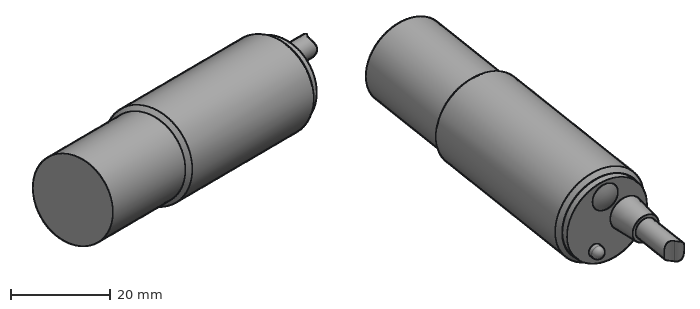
import cadquery as cq
import math

nose_diameter = 20.0
nose_length = 25.0
barrel_diameter = 22.0
barrel_chamfer = (barrel_diameter - nose_diameter) / 2
barrel_length = 43.9
barrel_end = nose_length + barrel_length

cap_diameter = 19.8
cap_thickness = 1.6
cap_face = barrel_end + cap_thickness

cable_x = -4.7
cable_z = 0.0
cable_diameter = 5.0
relief_base_diameter = 7.8
relief_tip_diameter = 6.5
relief_length = 6.9
relief_end = cap_face + relief_length
overall_length = 88.07

break_radius = 1.5
break_half_chord = cable_diameter / 4
break_rise = break_radius - math.sqrt(break_radius**2 - break_half_chord**2)
break_level = overall_length - break_rise

lamp_x = 3.0
lamp_z = -6.1
lamp_diameter = 3.0
lamp_radius = lamp_diameter / 2
lamp_post_height = 0.9

dome_x = 0.45
dome_z = 5.9
dome_diameter = 6.3
dome_height = 0.65


def cylinder(diameter, start, end, x=0.0, z=0.0):
    """Cylinder along Y from start to end."""
    axis_start = cq.Vector(x, start, z)
    return cq.Workplane(cq.Solid.makeCylinder(diameter / 2, end - start, axis_start, cq.Vector(0, 1, 0)))


def revolve_about_y(profile, x, y, z):
    """Revolve a radius-height profile about the Y direction and put its base centre at a point."""
    return profile.close().revolve(360, (0, 0, 0), (0, 1, 0)).translate((x, y, z))


def make_housing():
    barrel = cylinder(barrel_diameter, nose_length, barrel_end).edges().chamfer(barrel_chamfer)
    nose = cylinder(nose_diameter, 0, nose_length)
    return barrel.union(nose)


def make_relief():
    taper = cq.Solid.makeCone(
        relief_base_diameter / 2,
        relief_tip_diameter / 2,
        relief_length,
        cq.Vector(cable_x, cap_face, cable_z),
        cq.Vector(0, 1, 0),
    )
    return cq.Workplane(taper)


def make_cable():
    left = cable_x - cable_diameter / 2
    right = cable_x + cable_diameter / 2
    outline = (
        cq.Workplane("XY")
        .workplane(offset=cable_z)
        .moveTo(left, relief_end)
        .lineTo(left, break_level)
        .threePointArc((cable_x - break_half_chord, overall_length), (cable_x, break_level))
        .threePointArc((cable_x + break_half_chord, break_level - break_rise), (right, break_level))
        .lineTo(right, relief_end)
        .close()
        .extrude(cable_diameter / 2, both=True)
    )
    return cylinder(cable_diameter, relief_end, overall_length, cable_x, cable_z).intersect(outline)


def make_lamp():
    arc_share = math.cos(math.radians(45))
    profile = (
        cq.Workplane("XY")
        .lineTo(lamp_radius, 0)
        .lineTo(lamp_radius, lamp_post_height)
        .threePointArc(
            (lamp_radius * arc_share, lamp_post_height + lamp_radius * arc_share),
            (0, lamp_post_height + lamp_radius),
        )
    )
    return revolve_about_y(profile, lamp_x, cap_face, lamp_z)


def make_dome():
    dome_edge = dome_diameter / 2
    sphere_radius = (dome_edge**2 + dome_height**2) / (2 * dome_height)
    sphere_centre = dome_height - sphere_radius
    middle_radius = dome_edge / 2
    middle_height = sphere_centre + math.sqrt(sphere_radius**2 - middle_radius**2)
    profile = (
        cq.Workplane("XY")
        .lineTo(dome_edge, 0)
        .threePointArc((middle_radius, middle_height), (0, dome_height))
    )
    return revolve_about_y(profile, dome_x, cap_face, dome_z)


def make_rear_cap():
    cap = cylinder(cap_diameter, barrel_end, cap_face)
    for feature in (make_relief(), make_cable(), make_lamp(), make_dome()):
        cap = cap.union(feature)
    return cap


housing = make_housing()
rear_cap = make_rear_cap()
result = cq.Compound.makeCompound([housing.val(), rear_cap.val()])